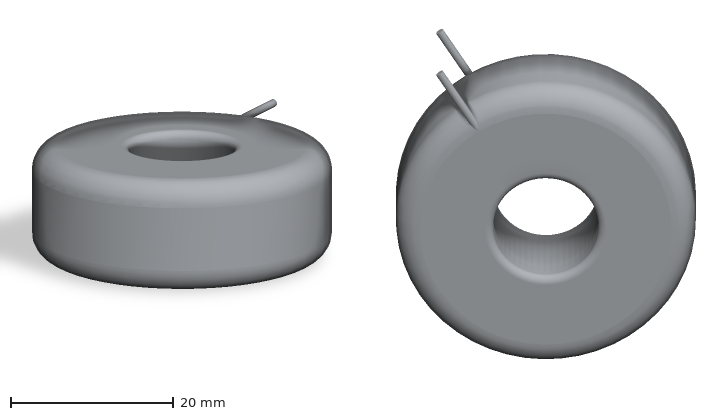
import cadquery as cq

ring_diameter = 37.0
ring_height = 14.0
bore_diameter = 13.0
outer_rounding = 3.0
bore_rounding = 1.0

total_length = 43.0
lead_diameter = 1.0
lead_inner_end = 9.5

lead_outer_end = total_length - ring_diameter / 2
lead_offset = (ring_height - lead_diameter) / 2


def make_lead(height):
    """Straight round wire along Y, centred at the given height."""
    return (
        cq.Workplane("XZ", origin=(0, lead_inner_end, height))
        .circle(lead_diameter / 2)
        .extrude(lead_inner_end - lead_outer_end)
    )


def make_ring(leads):
    """Rounded ring with a blind hole for each embedded lead."""
    base = cq.Workplane("XY").workplane(offset=-ring_height / 2)
    ring = base.circle(ring_diameter / 2).extrude(ring_height)
    ring = ring.edges("%CIRCLE").fillet(outer_rounding)
    ring = ring.cut(base.circle(bore_diameter / 2).extrude(ring_height))
    bore_rims = cq.selectors.RadiusNthSelector(0)
    ring = ring.faces("|Z").edges(bore_rims).fillet(bore_rounding)
    for lead in leads:
        ring = ring.cut(lead)
    return ring


leads = [make_lead(height) for height in (-lead_offset, lead_offset)]
ring = make_ring(leads)

result = cq.Compound.makeCompound([ring.solids().val(), *[lead.val() for lead in leads]])